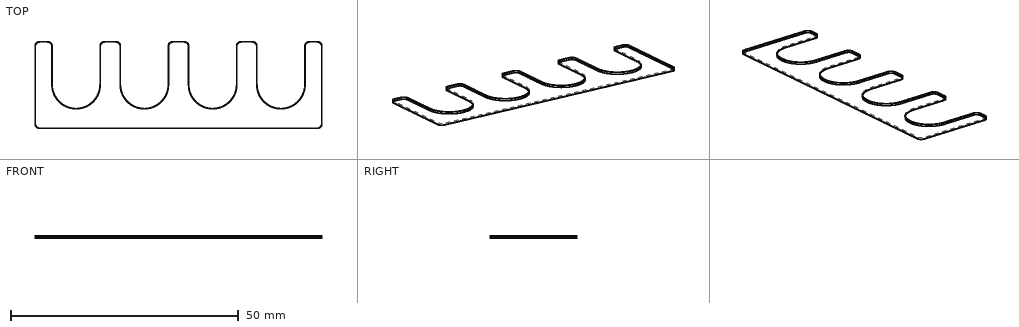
import cadquery as cq

length = 63.0
width = 19.0
thickness = 0.5
corner_radius = 1.0

slot_count = 4
slot_pitch = 15.0
slot_width = 10.5
spine_width = 4.35

slot_radius = slot_width / 2
back_edge = width / 2
slot_centre_y = -back_edge + spine_width + slot_radius


def slot_cutter(centre_x):
    """Solid filling one U-shaped slot."""
    left = centre_x - slot_radius
    right = centre_x + slot_radius
    return (
        cq.Workplane("XY")
        .moveTo(left, back_edge)
        .lineTo(left, slot_centre_y)
        .threePointArc((centre_x, slot_centre_y - slot_radius), (right, slot_centre_y))
        .lineTo(right, back_edge)
        .close()
        .extrude(thickness)
    )


comb = cq.Workplane("XY").box(length, width, thickness, centered=(True, True, False))
for index in range(slot_count):
    slot_x = (index - (slot_count - 1) / 2) * slot_pitch
    comb = comb.cut(slot_cutter(slot_x))

plate_corners = comb.edges("|Z").edges("<Y or >Y")
result = plate_corners.fillet(corner_radius)